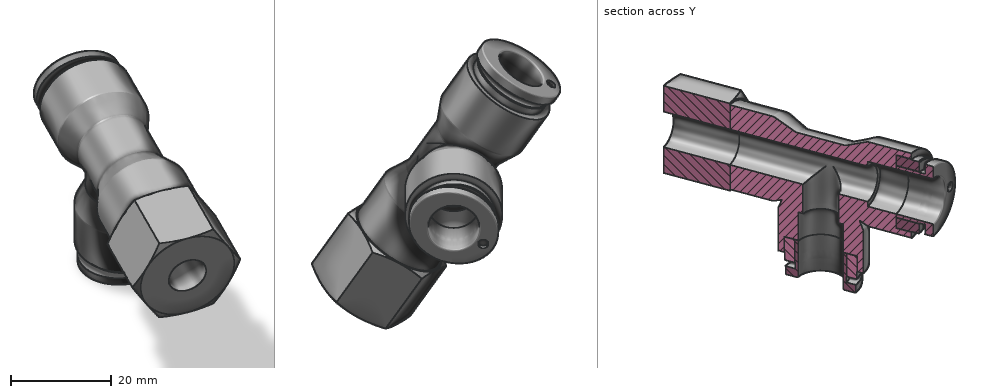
import cadquery as cq
import math


overall_length = 61.4
push_in_reach = 25.65
hex_face = overall_length - push_in_reach

barrel_radius = 9.7
neck_radius = 7.5
neck_half_length = 5.65
barrel_start = 10.75
barrel_end = 20.7
cone_round = 0.85
flow_radius = 4.0
socket_radius = 5.065

hex_across_flats = 20.0
hex_across_corners = hex_across_flats / math.cos(math.radians(30))
hex_chamfer_angle = 23.0

sleeve_radius = 8.26
sleeve_end = 22.5
sleeve_chamfer = 0.2

flange_length = 18.5
flange_width = 16.1
flange_thickness = 1.95
flange_round = 0.3
collar_neck_radius = 5.865
collar_bore_radius = 5.1
mouth_round = 0.35
taper_start = 22.65
taper_end = 20.75
insert_base = 17.2
mark_diameter = 2.0
mark_offset = 6.95
mark_depth = 1.0


def cylinder(radius, start, end):
    """Round bar on the Z axis between two heights."""
    return cq.Workplane("XY").workplane(offset=start).circle(radius).extrude(end - start)


def turn_to_left(part):
    """Swing a part from +Z to -X."""
    return part.rotate((0, 0, 0), (0, 1, 0), -90)


def turn_to_right(part):
    """Swing a part from +Z to +X."""
    return part.rotate((0, 0, 0), (0, 1, 0), 90)


def turn_down(part):
    """Swing a part from +Z to -Z."""
    return part.rotate((0, 0, 0), (0, 1, 0), 180)


push_in_turns = [turn_to_left, turn_down]


def make_arm(blend_start):
    """Neck, cone and barrel of one arm; cone ends beyond blend_start are rounded."""
    arm = (
        cq.Workplane("XZ")
        .lineTo(neck_radius, 0)
        .lineTo(neck_radius, neck_half_length)
        .lineTo(barrel_radius, barrel_start)
        .lineTo(barrel_radius, barrel_end)
        .lineTo(0, barrel_end)
        .close()
        .revolve(360, (0, 0, 0), (0, 1, 0))
    )
    cone_ends = cq.selectors.BoxSelector(
        (-barrel_radius, -barrel_radius, blend_start),
        (barrel_radius, barrel_radius, (barrel_start + barrel_end) / 2),
    )
    return arm.edges("%CIRCLE").edges(cone_ends).fillet(cone_round)


def make_tee():
    """Three arms with flow passages, and a stepped socket in each push-in arm."""
    run_arm = make_arm(neck_half_length / 2)
    branch_arm = make_arm((neck_half_length + barrel_start) / 2)
    passage = cylinder(flow_radius, 0, barrel_end)
    socket = cylinder(socket_radius, barrel_start, barrel_end)
    sleeve_seat = cylinder(sleeve_radius, insert_base, barrel_end)

    tee = turn_to_right(run_arm).union(turn_to_left(run_arm)).union(turn_down(branch_arm))
    tee = tee.cut(turn_to_right(passage))
    for turn in push_in_turns:
        tee = tee.cut(turn(passage)).cut(turn(socket)).cut(turn(sleeve_seat))
    return tee


def make_hex_end():
    """Hexagonal end piece with both rims turned down to the across-flats circle."""
    length = hex_face - barrel_end
    corner_radius = hex_across_corners / 2
    rim_radius = hex_across_flats / 2
    chamfer_height = (corner_radius - rim_radius) * math.tan(math.radians(hex_chamfer_angle))
    prism = cq.Workplane("XY").polygon(6, hex_across_corners).extrude(length)
    prism = prism.rotate((0, 0, 0), (0, 0, 1), 90)
    envelope = (
        cylinder(corner_radius, 0, length)
        .faces("<Z or >Z")
        .chamfer(chamfer_height, corner_radius - rim_radius)
    )
    hex_part = prism.intersect(envelope).cut(cylinder(flow_radius, 0, length))
    return turn_to_right(hex_part.translate((0, 0, barrel_end)))


def make_sleeve():
    """Plain ring around the collar neck."""
    sleeve = cylinder(sleeve_radius, insert_base, sleeve_end).faces(">Z").chamfer(sleeve_chamfer)
    return sleeve.cut(cylinder(collar_neck_radius, insert_base, sleeve_end))


def make_collar():
    """Oval flange with a round mark, round neck, and a bore that narrows slightly inward."""
    flange_base = push_in_reach - flange_thickness
    flange = (
        cq.Workplane("XY")
        .workplane(offset=flange_base)
        .ellipse(flange_width / 2, flange_length / 2)
        .extrude(flange_thickness)
        .faces(">Z")
        .edges()
        .fillet(flange_round)
    )
    bore = (
        cq.Workplane("XZ")
        .moveTo(0, insert_base)
        .lineTo(socket_radius, insert_base)
        .lineTo(socket_radius, taper_end)
        .lineTo(collar_bore_radius, taper_start)
        .lineTo(collar_bore_radius, push_in_reach - mouth_round)
        .radiusArc((collar_bore_radius + mouth_round, push_in_reach), mouth_round)
        .lineTo(0, push_in_reach)
        .close()
        .revolve(360, (0, 0, 0), (0, 1, 0))
    )
    mark = cylinder(mark_diameter / 2, push_in_reach - mark_depth, push_in_reach)
    neck = cylinder(collar_neck_radius, insert_base, flange_base)
    return flange.union(neck).cut(bore).cut(mark.translate((0, -mark_offset, 0)))


tee = make_tee()
hex_end_piece = make_hex_end()
sleeves = [turn(make_sleeve()) for turn in push_in_turns]
collars = [turn(make_collar()) for turn in push_in_turns]

result = cq.Compound.makeCompound(
    [
        tee.val(),
        hex_end_piece.val(),
        *[sleeve.val() for sleeve in sleeves],
        *[collar.val() for collar in collars],
    ]
)